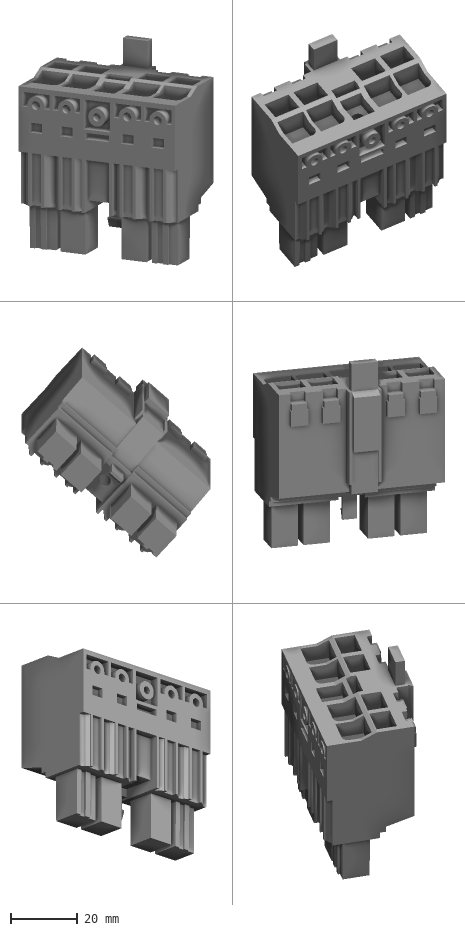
import cadquery as cq


total_height = 62.46
total_depth = 33.07
housing_width = 52.28
plug_length = 14.4
pole_pitch = 10.16
pole_places = [n * pole_pitch for n in (-2, -1, 1, 2)]

lever_top = total_height - plug_length
housing_top = 39.35
front_top = 37.2
flute_top = 16.7
slot_roof = 3.3

housing_back = 27.4
slope_front = 10.9
slope_back = 15.7
chin_back_height = 6.2
chin_front = 18.5
chin_front_height = 3.85
step_height = 2.0
foot_back = 16.7

lever_width = 8.3
lever_back = 30.4
lever_chin_height = 6.45
lever_arm_slope = 0.263
lever_arm_thickness = 3.0
lever_block_front = 13.5
lever_block_back = 16.0
lever_block_bottom = 0.7
arm_front_top = lever_chin_height - lever_arm_slope * (lever_back - lever_block_front) + lever_arm_thickness
arm_back_top = lever_chin_height - lever_arm_slope * (lever_back - housing_back) + lever_arm_thickness

hook_width = 4.5
hook_back = 14.5
hook_front = lever_block_front
hook_nose = 12.5
hook_ledge = -4.2
hook_nose_bottom = -4.7
hook_tip = -7.3

button_bottom = 20.7
button_edge_height = 38.2
button_root_height = 39.3

rail_outer = 5.1
rail_back = 31.2
rail_back_bottom = 9.8
rail_front_bottom = 9.3

wire_width = 9.1
wire_front = 5.5
wire_back = 14.4
wire_corner_radius = 2.0
wire_floor = 32.1
clamp_width = 8.4
clamp_front = 16.0
clamp_back = 22.4
clamp_floor = 27.0
window_front = 14.2
window_back = 17.3
well_width = 7.4
well_front = 4.6
well_back = 12.9
well_floor = 33.0
screw_hole_diameter = 3.9
screw_hole_place = 8.4

recess_depth = 3.0
recess_top = 35.6
side_recess_bottom = 31.0
side_recess_width = 9.1
arch_centre_height = 31.8
arch_radius = 2.8
arch_bore_diameter = 2.7
centre_recess_bottom = 26.25
centre_recess_width = 8.9
boss_height = 30.45
boss_diameter = 5.7
boss_bore_diameter = 2.5
bore_depth = 3.0
peep_width = 4.1
peep_bottom = 23.15
peep_top = 26.25
peep_depth = 2.0
centre_peep_depth = 3.0
centre_peep_width = 8.0
centre_peep_top = 25.2
centre_slot_depth = 2.9

key_half_width = 1.75
key_depth = 1.4
rib_outer = 2.65
rib_step_depth = 0.5
flank_outer = 3.9
flank_depth = 1.2
groove_depth = 1.96
groove_side_half = pole_pitch / 2 - flank_outer
groove_sagitta = groove_depth - flank_depth
groove_radius = (groove_side_half**2 + groove_sagitta**2) / (2 * groove_sagitta)

catch_offset = -0.2
catch_depth = 1.5
catch_width = 5.5
catch_bottom = 29.35
catch_shoulder = 34.4
catch_head_width = 4.7
catch_head_top = 36.45
catch_notch_depth = 1.7

plug_width = 8.35
plug_front = 4.45
plug_back = 14.05
plug_draft = 0.25
plug_groove_front = 5.4
plug_groove_spans = [(-2.5, -0.5), (1.3, plug_width / 2)]


def block(x, y, z):
    """Box between the two limits given for each axis."""
    return (
        cq.Workplane("XY")
        .box(x[1] - x[0], y[1] - y[0], z[1] - z[0], centered=False)
        .translate((x[0], y[0], z[0]))
    )


def centred_block(width, y, z, centre=0):
    """Box of the given width about an X place."""
    return block((centre - width / 2, centre + width / 2), y, z)


def side_prism(points, width):
    """Outline in Y and Z, extruded to both sides of X = 0."""
    return cq.Workplane("YZ").polyline(points).close().extrude(width / 2, both=True)


def front_cylinder(x, z, diameter, depth):
    """Cylinder from the front face backwards."""
    return cq.Workplane("XZ", origin=(x, 0, z)).circle(diameter / 2).extrude(-depth)


def lever_strip():
    """Upright tab with an arm that slopes forward under the housing to the hook block."""
    block_back_height = lever_chin_height - lever_arm_slope * (lever_back - lever_block_back)
    return side_prism(
        [
            (housing_back, lever_top),
            (lever_back, lever_top),
            (lever_back, lever_chin_height),
            (lever_block_back, block_back_height),
            (lever_block_back, lever_block_bottom),
            (lever_block_front, lever_block_bottom),
            (lever_block_front, arm_front_top),
            (housing_back, arm_back_top),
        ],
        lever_width,
    )


def lever_button():
    return side_prism(
        [
            (lever_back, button_bottom),
            (total_depth, button_bottom),
            (total_depth, button_edge_height),
            (lever_back, button_root_height),
        ],
        lever_width,
    )


def lever_hook():
    return side_prism(
        [
            (hook_front, lever_block_bottom),
            (hook_back, lever_block_bottom),
            (hook_back, hook_tip),
            (hook_front, hook_tip),
            (hook_nose, hook_nose_bottom),
            (hook_nose, hook_ledge),
            (hook_front, hook_ledge),
        ],
        hook_width,
    )


def make_lever():
    return lever_strip().union(lever_button()).union(lever_hook())


def housing_block():
    return side_prism(
        [
            (0, 0),
            (0, front_top),
            (slope_front, front_top),
            (slope_back, housing_top),
            (housing_back, housing_top),
            (housing_back, chin_back_height),
            (chin_front, chin_front_height),
            (chin_front, step_height),
            (foot_back, step_height),
            (foot_back, 0),
        ],
        housing_width,
    )


def lever_channel():
    """Clearance under the housing, shaped to the top of the lever arm."""
    return side_prism(
        [
            (centre_slot_depth, 0),
            (centre_slot_depth, slot_roof),
            (lever_block_front, slot_roof),
            (lever_block_front, arm_front_top),
            (housing_back, arm_back_top),
            (housing_back, 0),
        ],
        lever_width,
    ).union(centred_block(lever_width, (0, centre_slot_depth), (0, flute_top)))


def lever_rails():
    both = side_prism(
        [
            (housing_back, housing_top),
            (rail_back, housing_top),
            (rail_back, rail_back_bottom),
            (housing_back, rail_front_bottom),
        ],
        2 * rail_outer,
    )
    return both.cut(centred_block(lever_width, (housing_back, rail_back), (0, housing_top)))


def top_openings():
    """Wire entry and clamp opening of every pole, and the openings at the centre."""
    tall = housing_top
    cuts = centred_block(lever_width, (window_front, window_back), (clamp_floor, tall))
    cuts = cuts.union(centred_block(well_width, (well_front, well_back), (well_floor, tall)))
    screw_hole = (
        cq.Workplane("XY", origin=(0, screw_hole_place, 0))
        .circle(screw_hole_diameter / 2)
        .extrude(tall)
    )
    cuts = cuts.union(screw_hole)
    for x in pole_places:
        wire_entry = (
            centred_block(wire_width, (wire_front, wire_back), (wire_floor, tall), x)
            .edges("|Z and >X and <Y")
            .fillet(wire_corner_radius)
        )
        clamp = centred_block(clamp_width, (clamp_front, clamp_back), (clamp_floor, tall), x)
        cuts = cuts.union(wire_entry).union(clamp)
    return cuts


def pole_recess(x):
    """Recess around an arched boss that stands on the recess floor and has a bore."""
    depth = (0, recess_depth)
    recess = centred_block(side_recess_width, depth, (side_recess_bottom, recess_top), x)
    arch = front_cylinder(x, arch_centre_height, 2 * arch_radius, recess_depth)
    arch = arch.union(
        centred_block(2 * arch_radius, depth, (side_recess_bottom, arch_centre_height), x)
    )
    bore = front_cylinder(x, arch_centre_height, arch_bore_diameter, bore_depth)
    return recess.cut(arch).union(bore)


def front_openings():
    cuts = centred_block(centre_recess_width, (0, recess_depth), (centre_recess_bottom, recess_top))
    cuts = cuts.cut(front_cylinder(0, boss_height, boss_diameter, recess_depth))
    cuts = cuts.union(front_cylinder(0, boss_height, boss_bore_diameter, bore_depth))
    centre_peep_depths = (0, centre_peep_depth)
    centre_peep_heights = (peep_bottom, centre_peep_top)
    cuts = cuts.union(centred_block(centre_peep_width, centre_peep_depths, centre_peep_heights))
    for x in pole_places:
        cuts = cuts.union(pole_recess(x))
        cuts = cuts.union(centred_block(peep_width, (0, peep_depth), (peep_bottom, peep_top), x))
    return cuts


def flute_half(x, side):
    """Stepped flank and half of the round groove on one side of a pole, cut from the front."""
    half_pitch = pole_pitch / 2
    arc_middle = groove_side_half / 2
    arc_middle_depth = (
        groove_depth - groove_radius + (groove_radius**2 - arc_middle**2) ** 0.5
    )
    return (
        cq.Workplane("XY")
        .moveTo(x + side * rib_outer, 0)
        .lineTo(x + side * rib_outer, rib_step_depth)
        .lineTo(x + side * flank_outer, flank_depth)
        .threePointArc(
            (x + side * (half_pitch - arc_middle), arc_middle_depth),
            (x + side * half_pitch, groove_depth),
        )
        .lineTo(x + side * half_pitch, 0)
        .close()
        .extrude(flute_top)
    )


def flutes():
    """Key slot and flanks of every pole; the outermost grooves run on through the sides."""
    outer = 3 * pole_pitch
    cuts = flute_half(-outer, 1).union(flute_half(outer, -1))
    for x in pole_places:
        cuts = cuts.union(centred_block(2 * key_half_width, (0, key_depth), (0, flute_top), x))
        cuts = cuts.union(flute_half(x, -1)).union(flute_half(x, 1))
    return cuts


def catch(x):
    """Catch on the back face, with a narrower head that reaches into the notch above it."""
    back = (housing_back, housing_back + catch_depth)
    body = centred_block(catch_width, back, (catch_bottom, catch_shoulder), x)
    return body.union(centred_block(catch_head_width, back, (catch_bottom, catch_head_top), x))


def catch_notch(x):
    notch = (housing_back - catch_notch_depth, housing_back)
    return centred_block(catch_head_width, notch, (catch_head_top, housing_top), x)


def make_housing():
    body = housing_block().union(lever_rails())
    for cuts in (top_openings(), front_openings(), flutes(), lever_channel()):
        body = body.cut(cuts)
    for x in pole_places:
        body = body.cut(catch_notch(x + catch_offset)).union(catch(x + catch_offset))
    return body


def outer_plug(x):
    """Plug that tapers downward, with two flat grooves in its front."""
    plug = side_prism(
        [
            (plug_front, 0),
            (plug_back, 0),
            (plug_back - plug_draft, -plug_length),
            (plug_front + plug_draft, -plug_length),
        ],
        plug_width,
    )
    for span in plug_groove_spans:
        plug = plug.cut(block(span, (plug_front, plug_groove_front), (-plug_length, 0)))
    return plug.translate((x, 0, 0))


def inner_plug(x):
    """Plain straight plug, as deep as the tip of an outer plug."""
    depth = (plug_front + plug_draft, plug_back - plug_draft)
    return centred_block(plug_width, depth, (-plug_length, 0), x)


housing = make_housing()
lever = make_lever()
outer_plugs = [outer_plug(x) for x in (pole_places[0], pole_places[-1])]
inner_plugs = [inner_plug(x) for x in pole_places[1:-1]]
result = cq.Compound.makeCompound(
    [housing.val(), lever.val(), *[plug.val() for plug in outer_plugs + inner_plugs]]
)